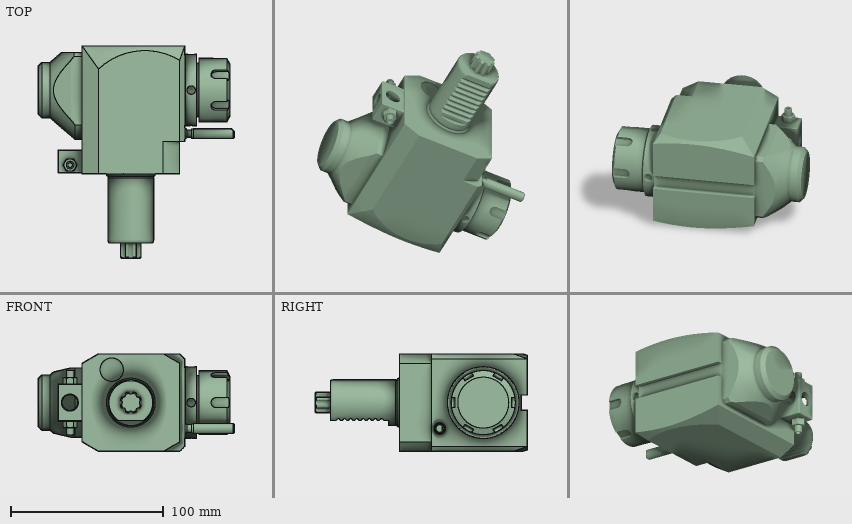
import cadquery as cq
import math

EMBED = 0.7

HALF_WIDTH = 32.0
HALF_HEIGHT = 32.0
HOUSING_DEPTH = 83.8
SPINDLE_FACE_X = 35.3
SIDE_CHAMFER_X = 10.8
SIDE_CHAMFER_ANGLE = 30
SIDE_CHAMFER_Z = SIDE_CHAMFER_X * math.tan(math.radians(SIDE_CHAMFER_ANGLE))
SPINDLE_FACE_CHAMFER = SPINDLE_FACE_X - HALF_WIDTH
STEP_Y = 21.1
CROWN_X = 9.2
CROWN_Y = 36.7
CROWN_RADIUS = 44.0
BACK_SLOT_DEPTH = 3.9
BACK_SLOT_WIDTH = 9.7
PLUG_X = -12.5
PLUG_Z = 21.5
PLUG_RADIUS = 7.6
PLUG_DEPTH = 1.4

SHANK_RADIUS = 15.0
SHANK_LENGTH = 45.2
SHANK_END_ROUND = 2.1
SHANK_END_RADIUS = 14.3
SEAL_RADIUS = 16.0
SEAL_WIDTH = 1.5
SEAL_ROUND = 1.3
NECK_RADIUS = 14.5
NECK_END = 2.5
RACK_START = 7.1
RACK_Z = -11.8
TOOTH_COUNT = 8
TOOTH_PITCH = 4.0
FIRST_TOOTH = 11.7
TOOTH_DEPTH = 1.4
TOOTH_FLOOR = 0.5

SPLINE_RADIUS = 7.1
SPLINE_END = 55.2
SPLINE_COUNT = 8
SPLINE_GROOVE_RADIUS = 1.5
SPLINE_ROUND = 0.5
SPLINE_CHAMFER = 0.8

SPINDLE_Y = 54.9
COVER_END_X = -60.7
COVER_CHAMFER = 2.5
COVER_RADIUS = 18.2
COVER_CONE_X = -52.8
COVER_BASE_X = -36.5
COVER_BASE_RADIUS = 32.2
COVER_HALF_HEIGHT = 22.8
COVER_SLOPE_X = -38.9
COVER_TIP_X = -51.4
COVER_TIP_HALF_HEIGHT = 19.9
COVER_BACK_Y = 79.5
COVER_CORNER = 2.5
COLLAR_START_X = 35.7
COLLAR_END_X = 43.1
COLLAR_RADIUS = 23.5
COLLAR_NECK_RADIUS = 23.0
COLLAR_HOLE_X = 39.5
COLLAR_HOLE_RADIUS = 2.8
COLLAR_HOLE_DEPTH = 3.5
DRILL_HALF_ANGLE = 59
DRILL_TIP_HEIGHT = COLLAR_HOLE_RADIUS / math.tan(math.radians(DRILL_HALF_ANGLE))
COLLAR_HOLE_COUNT = 4
NUT_NECK_RADIUS = 17.8
NUT_START_X = 44.5
NUT_SHOULDER_X = 62.8
NUT_END_X = 65.0
NUT_RADIUS = 21.0
NUT_END_RADIUS = 16.7
NUT_SLOT_COUNT = 6
NUT_SLOT_WIDTH = 6.5
NUT_SLOT_START_X = 52.5
NUT_SLOT_FLOOR = 18.3

COOLANT_X = -47.8
COOLANT_START_Y = 0.7
COOLANT_END_Y = 15.8
COOLANT_HALF_HEIGHT = 12.2
COOLANT_EDGE = 0.4
CROSS_BORE_X = -39.9
CROSS_BORE_RADIUS = 5.1
CROSS_BORE_CHAMFER = 0.4
SIDE_BORE_Y = 8.5
SIDE_BORE_RADIUS = 4.7
SIDE_BORE_END_X = -34.0
FEED_RADIUS = 1.4
FEED_END_X = -30.6
FITTING_X = -39.8
FITTING_Y = 5.8
FITTING_HEX_FLATS = 8.0
FITTING_HEX_TOP = 16.5
FITTING_HEX_CHAMFER = 0.7
FITTING_TOP = 21.1
FITTING_RADIUS = 2.5
FITTING_BORE_RADIUS = 1.5
FITTING_BORE_DEPTH = 2.1

PIPE_Y = 26.4
PIPE_Z = -17.0
PIPE_RADIUS = 3.3
PIPE_START_X = 41.0
PIPE_END_X = 67.8
PIPE_CHAMFER = 0.8
PIPE_BASE_RADIUS = 3.9
PIPE_BASE_END_X = 36.8
PIPE_NECK_RADIUS = 2.5
PIPE_NECK_END_X = 39.6
PIPE_SHOULDER_RADIUS = 3.0
PIPE_JET_RADIUS = 0.8
PIPE_JET_DEPTH = 3.5
PIPE_TIP_FLAT = 2.0


def box_between(low, high):
    """Box spanning two opposite corners."""
    sizes = [high[i] - low[i] for i in range(3)]
    return cq.Workplane("XY").box(*sizes, centered=False).translate(low)


def cylinder(start, direction, radius, length):
    return cq.Workplane(cq.Solid.makeCylinder(radius, length, cq.Vector(*start), cq.Vector(*direction)))


def turned_about_x(profile, y, z):
    """Turn a list of (x, radius) points about a line parallel to X."""
    outline = [(profile[0][0], 0)] + profile + [(profile[-1][0], 0)]
    solid = cq.Workplane("XY").polyline(outline).close().revolve(360, (0, 0, 0), (1, 0, 0))
    return solid.translate((0, y, z))


def extruded_along_y(outline, y_start, y_end):
    """Extrude a list of (x, z) points between two Y positions."""
    return cq.Workplane("XZ", origin=(0, y_start, 0)).polyline(outline).close().extrude(y_start - y_end)


def make_housing():
    shoulder_x = HALF_WIDTH - SIDE_CHAMFER_X
    shoulder_z = HALF_HEIGHT - SIDE_CHAMFER_Z
    left = [
        (-shoulder_x, -HALF_HEIGHT),
        (-HALF_WIDTH, -shoulder_z),
        (-HALF_WIDTH, shoulder_z),
        (-shoulder_x, HALF_HEIGHT),
    ]
    narrow = left + [(-x, z) for x, z in reversed(left)]
    wide = left + [
        (HALF_WIDTH, HALF_HEIGHT),
        (SPINDLE_FACE_X, HALF_HEIGHT - SPINDLE_FACE_CHAMFER),
        (SPINDLE_FACE_X, -HALF_HEIGHT + SPINDLE_FACE_CHAMFER),
        (HALF_WIDTH, -HALF_HEIGHT),
    ]
    housing = extruded_along_y(narrow, 0, STEP_Y + EMBED)
    housing = housing.union(extruded_along_y(wide, STEP_Y, HOUSING_DEPTH))
    housing = housing.intersect(make_crown_envelope(shoulder_z))

    slot = box_between(
        (-2 * HALF_WIDTH, HOUSING_DEPTH - BACK_SLOT_DEPTH, -BACK_SLOT_WIDTH / 2),
        (2 * HALF_WIDTH, 2 * HOUSING_DEPTH, BACK_SLOT_WIDTH / 2),
    )
    plug_recess = cylinder((PLUG_X, 0, PLUG_Z), (0, 1, 0), PLUG_RADIUS, PLUG_DEPTH)
    return housing.cut(slot).cut(plug_recess)


def make_crown_envelope(shoulder_z):
    """Double cone that bevels the back; each cone passes through the left back corners of the housing."""
    corner_radius = math.hypot(HALF_WIDTH + CROWN_X, HOUSING_DEPTH - CROWN_Y)
    spread = (corner_radius - CROWN_RADIUS) / (HALF_HEIGHT - shoulder_z)
    middle_radius = CROWN_RADIUS + HALF_HEIGHT * spread
    outline = [(0, -HALF_HEIGHT), (CROWN_RADIUS, -HALF_HEIGHT), (middle_radius, 0),
               (CROWN_RADIUS, HALF_HEIGHT), (0, HALF_HEIGHT)]
    cones = cq.Workplane("XZ").polyline(outline).close().revolve(360, (0, 0, 0), (0, 1, 0))
    cones = cones.translate((CROWN_X, CROWN_Y, 0))
    front = box_between((-2 * HALF_WIDTH, 0, -HALF_HEIGHT), (2 * HALF_WIDTH, CROWN_Y, HALF_HEIGHT))
    return cones.union(front)


def make_shank():
    shank = (
        cq.Workplane("XY")
        .moveTo(0, EMBED)
        .lineTo(NECK_RADIUS, EMBED)
        .lineTo(NECK_RADIUS, -SEAL_WIDTH)
        .lineTo(SHANK_RADIUS, -NECK_END)
        .lineTo(SHANK_RADIUS, -SHANK_LENGTH + SHANK_END_ROUND)
        .tangentArcPoint((SHANK_END_RADIUS, -SHANK_LENGTH), relative=False)
        .lineTo(0, -SHANK_LENGTH)
        .close()
        .revolve(360, (0, 0, 0), (0, 1, 0))
    )
    flat = box_between(
        (-2 * SHANK_RADIUS, -2 * SHANK_LENGTH, -2 * SHANK_RADIUS),
        (2 * SHANK_RADIUS, -RACK_START, RACK_Z),
    )
    shank = shank.cut(flat)

    half_floor = TOOTH_FLOOR / 2
    half_mouth = half_floor + TOOTH_DEPTH
    groove = (
        cq.Workplane("YZ", origin=(-SHANK_RADIUS, 0, RACK_Z))
        .polyline([(-half_mouth, 0), (-half_floor, TOOTH_DEPTH), (half_floor, TOOTH_DEPTH), (half_mouth, 0)])
        .close()
        .extrude(2 * SHANK_RADIUS)
    )
    for i in range(TOOTH_COUNT):
        shank = shank.cut(groove.translate((0, -FIRST_TOOTH - i * TOOTH_PITCH, 0)))

    seal = cylinder((0, 0, 0), (0, -1, 0), SEAL_RADIUS, SEAL_WIDTH)
    seal = seal.faces("<Y").edges().fillet(SEAL_ROUND)
    return shank.union(seal)


def make_spline():
    length = SPLINE_END - SHANK_LENGTH + EMBED
    spline = cylinder((0, -SPLINE_END, 0), (0, 1, 0), SPLINE_RADIUS, length)
    chamfered_rod = spline.faces("<Y").chamfer(SPLINE_CHAMFER)
    for i in range(SPLINE_COUNT):
        angle = 2 * math.pi * i / SPLINE_COUNT
        start = (SPLINE_RADIUS * math.cos(angle), -SPLINE_END, SPLINE_RADIUS * math.sin(angle))
        spline = spline.cut(cylinder(start, (0, 1, 0), SPLINE_GROOVE_RADIUS, length))
    spline = spline.edges("|Y").fillet(SPLINE_ROUND)
    return spline.intersect(chamfered_rod)


def make_spindle_cover():
    cover = turned_about_x(
        [
            (COVER_END_X, COVER_RADIUS - COVER_CHAMFER),
            (COVER_END_X + COVER_CHAMFER, COVER_RADIUS),
            (COVER_CONE_X, COVER_RADIUS),
            (COVER_BASE_X, COVER_BASE_RADIUS),
            (-HALF_WIDTH + EMBED, COVER_BASE_RADIUS),
        ],
        SPINDLE_Y, 0,
    )
    upper = [
        (COVER_END_X, COVER_TIP_HALF_HEIGHT),
        (COVER_TIP_X, COVER_TIP_HALF_HEIGHT),
        (COVER_SLOPE_X, COVER_HALF_HEIGHT),
        (0, COVER_HALF_HEIGHT),
    ]
    tapered_slab = extruded_along_y(upper + [(x, -z) for x, z in reversed(upper)], 0, COVER_BACK_Y)
    bar = box_between(
        (COVER_END_X, 0, -COVER_HALF_HEIGHT),
        (0, COVER_BACK_Y, COVER_HALF_HEIGHT),
    )
    bar = bar.edges("|X and >Y").chamfer(COVER_CORNER)
    return cover.intersect(tapered_slab).intersect(bar)


def make_collar():
    collar = turned_about_x(
        [
            (SPINDLE_FACE_X - EMBED, COLLAR_NECK_RADIUS),
            (COLLAR_START_X, COLLAR_NECK_RADIUS),
            (COLLAR_START_X, COLLAR_RADIUS),
            (COLLAR_END_X, COLLAR_RADIUS),
        ],
        SPINDLE_Y, 0,
    )
    for i in range(COLLAR_HOLE_COUNT):
        hole = cylinder((COLLAR_HOLE_X, 0, COLLAR_RADIUS - COLLAR_HOLE_DEPTH), (0, 0, 1),
                        COLLAR_HOLE_RADIUS, 2 * COLLAR_HOLE_DEPTH)
        tip = cq.Solid.makeCone(
            COLLAR_HOLE_RADIUS, 0, DRILL_TIP_HEIGHT,
            cq.Vector(COLLAR_HOLE_X, 0, COLLAR_RADIUS - COLLAR_HOLE_DEPTH), cq.Vector(0, 0, -1),
        )
        hole = hole.union(cq.Workplane(tip))
        hole = hole.rotate((0, 0, 0), (1, 0, 0), i * 360 / COLLAR_HOLE_COUNT)
        collar = collar.cut(hole.translate((0, SPINDLE_Y, 0)))
    return collar


def make_clamping_nut():
    nut = turned_about_x(
        [
            (COLLAR_END_X - EMBED, NUT_NECK_RADIUS),
            (NUT_START_X, NUT_NECK_RADIUS),
            (NUT_START_X, NUT_RADIUS),
            (NUT_SHOULDER_X, NUT_RADIUS),
            (NUT_END_X, NUT_END_RADIUS),
        ],
        0, 0,
    )
    slot_radius = NUT_SLOT_WIDTH / 2
    slot_center_x = NUT_SLOT_START_X + slot_radius
    round_end = cylinder((slot_center_x, 0, -2 * NUT_RADIUS), (0, 0, 1),
                         slot_radius, 2 * NUT_RADIUS - NUT_SLOT_FLOOR)
    straight = box_between(
        (slot_center_x, -slot_radius, -2 * NUT_RADIUS),
        (NUT_END_X, slot_radius, -NUT_SLOT_FLOOR),
    )
    slot = round_end.union(straight).rotate((0, 0, 0), (1, 0, 0), 90)
    for i in range(NUT_SLOT_COUNT):
        nut = nut.cut(slot.rotate((0, 0, 0), (1, 0, 0), i * 360 / NUT_SLOT_COUNT))
    return nut.translate((0, SPINDLE_Y, 0))


def make_coolant_block():
    block = box_between(
        (COOLANT_X, COOLANT_START_Y, -COOLANT_HALF_HEIGHT),
        (-HALF_WIDTH + EMBED, COOLANT_END_Y, COOLANT_HALF_HEIGHT),
    )
    block = block.edges("<X or (|X and (<Y or >Y))").chamfer(COOLANT_EDGE)
    cross_bore = cylinder((CROSS_BORE_X, COOLANT_START_Y, 0), (0, 1, 0),
                          CROSS_BORE_RADIUS, COOLANT_END_Y - COOLANT_START_Y)
    mouth = cq.Solid.makeCone(
        CROSS_BORE_RADIUS + CROSS_BORE_CHAMFER, CROSS_BORE_RADIUS, CROSS_BORE_CHAMFER,
        cq.Vector(CROSS_BORE_X, COOLANT_START_Y, 0), cq.Vector(0, 1, 0),
    )
    side_bore = cylinder((COOLANT_X, SIDE_BORE_Y, 0), (1, 0, 0),
                         SIDE_BORE_RADIUS, SIDE_BORE_END_X - COOLANT_X)
    return block.cut(cross_bore).cut(cq.Workplane(mouth)).cut(side_bore)


def make_fitting():
    """Upward hexagon fitting with a hollow stub, standing on the coolant block."""
    base_z = COOLANT_HALF_HEIGHT - EMBED
    corner_diameter = FITTING_HEX_FLATS / math.cos(math.pi / 6)
    height = FITTING_HEX_TOP - base_z
    hexagon = cq.Workplane("XY").polygon(6, corner_diameter).extrude(height)
    rounding = cq.Workplane("XY").circle(corner_diameter / 2).extrude(height)
    rounding = rounding.faces(">Z").chamfer(FITTING_HEX_CHAMFER)
    nut = hexagon.intersect(rounding).translate((FITTING_X, FITTING_Y, base_z))
    stub = cylinder((FITTING_X, FITTING_Y, base_z), (0, 0, 1), FITTING_RADIUS, FITTING_TOP - base_z)
    bore = cylinder((FITTING_X, FITTING_Y, FITTING_TOP), (0, 0, -1),
                    FITTING_BORE_RADIUS, FITTING_BORE_DEPTH)
    return nut.union(stub).cut(bore)


def make_coolant_pipe():
    pipe = turned_about_x(
        [
            (SPINDLE_FACE_X - EMBED, PIPE_BASE_RADIUS),
            (SPINDLE_FACE_X, PIPE_BASE_RADIUS),
            (PIPE_BASE_END_X, PIPE_NECK_RADIUS),
            (PIPE_NECK_END_X, PIPE_NECK_RADIUS),
            (PIPE_NECK_END_X, PIPE_SHOULDER_RADIUS),
            (PIPE_START_X, PIPE_SHOULDER_RADIUS),
            (PIPE_START_X, PIPE_RADIUS),
            (PIPE_END_X - PIPE_CHAMFER, PIPE_RADIUS),
            (PIPE_END_X, PIPE_RADIUS - PIPE_CHAMFER),
        ],
        PIPE_Y, PIPE_Z,
    )
    top_y = PIPE_Y + PIPE_RADIUS
    flat = (
        cq.Workplane("XY", origin=(PIPE_END_X, top_y, PIPE_Z - PIPE_RADIUS))
        .polyline([(-PIPE_TIP_FLAT, 0), (0, -PIPE_TIP_FLAT), (0, 0)])
        .close()
        .extrude(2 * PIPE_RADIUS)
    )
    reach = PIPE_JET_DEPTH / math.sqrt(2)
    jet_start = (PIPE_END_X - reach, top_y - reach, PIPE_Z)
    jet = cylinder(jet_start, (1, 1, 0), PIPE_JET_RADIUS, 2 * PIPE_JET_DEPTH)
    return pipe.cut(flat).cut(jet)


def make_feed_bores():
    """Small bores that link the coolant block to the housing and to both fittings."""
    housing_feed = cylinder((SIDE_BORE_END_X, SIDE_BORE_Y, 0), (1, 0, 0),
                            FEED_RADIUS, FEED_END_X - SIDE_BORE_END_X)
    fitting_feed = cylinder((FITTING_X, FITTING_Y, -COOLANT_HALF_HEIGHT), (0, 0, 1),
                            FEED_RADIUS, 2 * COOLANT_HALF_HEIGHT)
    return housing_feed.union(fitting_feed)


fitting = make_fitting()

result = (
    make_housing()
    .union(make_shank())
    .union(make_spline())
    .union(make_spindle_cover())
    .union(make_collar())
    .union(make_clamping_nut())
    .union(make_coolant_block())
    .union(fitting)
    .union(fitting.mirror("XY"))
    .union(make_coolant_pipe())
    .cut(make_feed_bores())
)